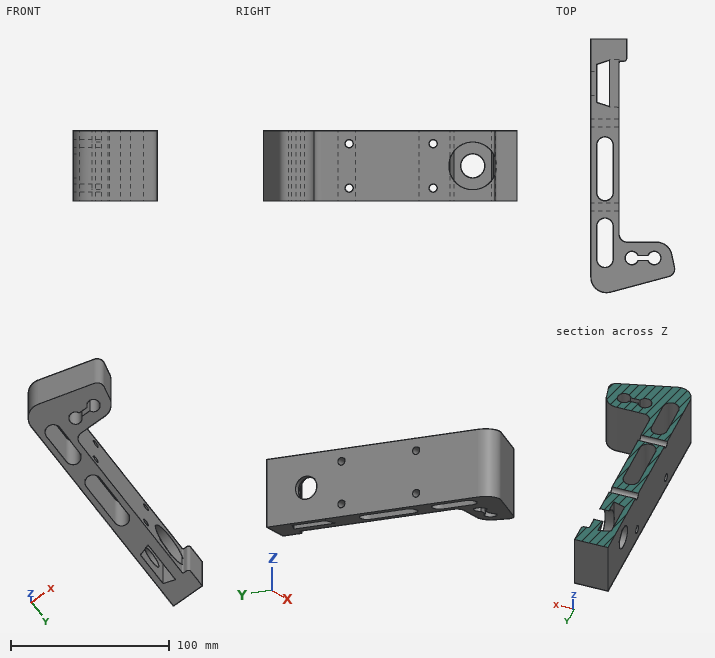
import cadquery as cq
import math

length = 160.0
height = 44.5
foot_reach = 53.0

arm_thickness = 17.9
head_width = 22.7
head_depth = 14.0
head_corner_radius = 1.9
head_inner_radius = 1.0

foot_back_y = -128.0
foot_front_slope = math.radians(15)
foot_end_tilt = math.radians(12)
heel_radius = 9.9
toe_front_radius = 5.0
toe_back_radius = 9.9
foot_inner_radius = 5.0

wall = 3.8
slot_width = arm_thickness - 2 * wall
slot_spans = [(-101.9, -61.7), (-144.0, -113.0)]
pocket_depth = 7.8
pocket_outer_length = 23.8
pocket_inner_length = 29.0
keyhole_y = -138.0
keyhole_x_positions = [25.9, 40.0]
keyhole_diameter = 8.3
keyhole_neck_width = 2.9

large_hole_y = -28.0
large_hole_diameter = 15.0
clearance_hole_diameter = 30.0
small_hole_y_positions = [-53.0, -105.9]
small_hole_spacing_z = 28.0
small_hole_diameter = 5.0


def body():
    """L-shaped outline, extruded upwards, with rounded vertical edges."""
    heel_center_y = -length + heel_radius
    slope = math.tan(foot_front_slope)
    heel_corner_y = heel_center_y - heel_radius * (slope + 1 / math.cos(foot_front_slope))

    toe_x = foot_reach - toe_front_radius
    toe_y = heel_corner_y + toe_x * slope + toe_front_radius / math.cos(foot_front_slope)
    end_slope = math.tan(foot_end_tilt)
    end_x_at_toe = toe_x + toe_front_radius / math.cos(foot_end_tilt)
    toe_back_x = end_x_at_toe - (foot_back_y - toe_y) * end_slope
    toe_front_x = (
        end_x_at_toe + (toe_y - heel_corner_y) * end_slope
    ) / (1 + slope * end_slope)
    toe_front_y = heel_corner_y + toe_front_x * slope

    rounded_corners = [
        (0, heel_corner_y, heel_radius),
        (toe_front_x, toe_front_y, toe_front_radius),
        (toe_back_x, foot_back_y, toe_back_radius),
        (arm_thickness, foot_back_y, foot_inner_radius),
        (arm_thickness, -head_depth, head_inner_radius),
        (head_width, -head_depth, head_corner_radius),
    ]
    outline = [(0, 0)]
    outline += [(x, y) for x, y, radius in rounded_corners]
    outline += [(head_width, 0)]
    solid = cq.Workplane("XY").polyline(outline).close().extrude(height)
    for x, y, radius in rounded_corners:
        corner = cq.selectors.NearestToPointSelector((x, y, height / 2))
        solid = solid.edges("|Z").edges(corner).fillet(radius)
    return solid


def arm_slots():
    """Round-ended slots running along the arm."""
    slots = cq.Workplane("XY")
    for front_y, back_y in slot_spans:
        slots = slots.union(
            cq.Workplane("XY")
            .center(arm_thickness / 2, (front_y + back_y) / 2)
            .slot2D(back_y - front_y, slot_width, 90)
            .extrude(height)
        )
    return slots


def dovetail_pocket():
    """Trapezoidal opening that widens away from the mounting face."""
    outer_half = pocket_outer_length / 2
    inner_half = pocket_inner_length / 2
    corners = [
        (0, -outer_half),
        (0, outer_half),
        (pocket_depth, inner_half),
        (pocket_depth, -inner_half),
    ]
    return (
        cq.Workplane("XY")
        .center(wall, large_hole_y)
        .polyline(corners)
        .close()
        .extrude(height)
    )


def foot_keyhole():
    """Two round holes joined by a narrow neck."""
    first_x, last_x = keyhole_x_positions
    holes = (
        cq.Workplane("XY")
        .pushPoints([(x, keyhole_y) for x in keyhole_x_positions])
        .circle(keyhole_diameter / 2)
        .extrude(height)
    )
    neck = (
        cq.Workplane("XY")
        .center((first_x + last_x) / 2, keyhole_y)
        .rect(last_x - first_x, keyhole_neck_width)
        .extrude(height)
    )
    return holes.union(neck)


def cross_holes():
    """A large hole, wider beyond the dovetail pocket, and four small holes through the arm."""
    middle_z = height / 2
    small_points = [
        (y, middle_z + side * small_hole_spacing_z / 2)
        for y in small_hole_y_positions
        for side in (-1, 1)
    ]
    large = (
        cq.Workplane("YZ")
        .center(large_hole_y, middle_z)
        .circle(large_hole_diameter / 2)
        .extrude(arm_thickness)
    )
    far_wall_x = wall + pocket_depth
    clearance = (
        cq.Workplane("YZ", origin=(far_wall_x, 0, 0))
        .center(large_hole_y, middle_z)
        .circle(clearance_hole_diameter / 2)
        .extrude(arm_thickness - far_wall_x)
    )
    small = (
        cq.Workplane("YZ")
        .pushPoints(small_points)
        .circle(small_hole_diameter / 2)
        .extrude(arm_thickness)
    )
    return large.union(clearance).union(small)


result = body()
for opening in (arm_slots(), dovetail_pocket(), foot_keyhole(), cross_holes()):
    result = result.cut(opening)